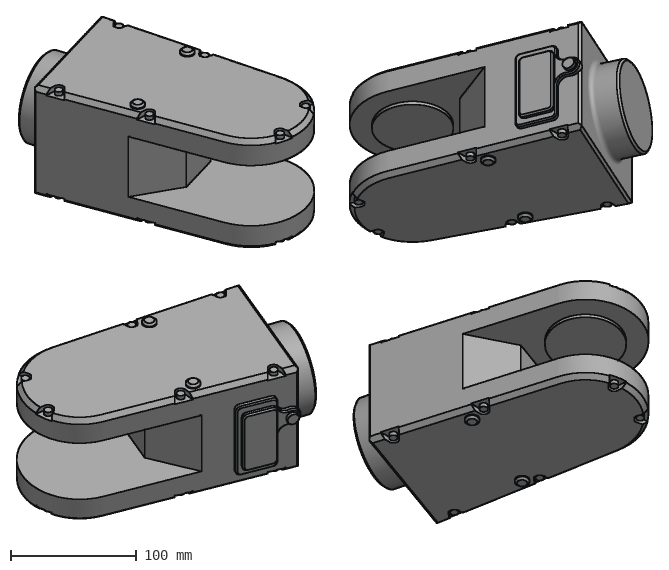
import cadquery as cq
import math

LENGTH = 240.5
FACE_X = 24.8
HEIGHT = 105.3
REAR_HALF_WIDTH = 58.7
END_RADIUS = 50.2
FACE_CHAMFER = 2.2
EDGE_CHAMFER = 4.0
END_X = LENGTH - END_RADIUS
TOP_Z = HEIGHT / 2

SIDE_SPAN = END_X - FACE_X
CENTER_DISTANCE = math.hypot(SIDE_SPAN, REAR_HALF_WIDTH)
TAPER = math.atan2(REAR_HALF_WIDTH, SIDE_SPAN) - math.asin(END_RADIUS / CENTER_DISTANCE)
TANGENT_X = END_X + END_RADIUS * math.sin(TAPER)
TANGENT_Y = END_RADIUS * math.cos(TAPER)

GAP_HEIGHT = 58.2
GAP_FLOOR_X = 142.5
GAP_SIDE_X = 108.5

DISC_RADIUS = 32.5
DISC_THICKNESS = 3.1

CAP_RADIUS = 39.0
CAP_CHAMFER = 2.0
CAP_FILLET = 4.0

SCREW_XS = (43.8, 123.3)
SCREW_END_ANGLE = 30.0
SCREW_INSET = 6.7
SCREW_RADIUS = 3.4
SCREW_DROP = 1.2
POCKET_RADIUS = 4.8
POCKET_DEPTH = 5.0
POCKET_FLARE = 22.0
POCKET_REACH = 14.5

STUD_X = 110.0
STUD_Y = 41.8
STUD_BASE_RADIUS = 6.0
STUD_TIP_RADIUS = 4.0
STUD_HEIGHT = 3.0

PLATE_START = 19.7
PLATE_END = 55.8
PLATE_LOW_Z = -40.1
PLATE_HIGH_Z = 30.8
PLATE_THICKNESS = 4.0
PLATE_CORNER = 4.5
PLATE_CHAMFER = 1.2
COVER_START = 21.2
COVER_END = 51.2
COVER_LOW_Z = -34.1
COVER_HIGH_Z = 24.0
COVER_HEIGHT = 8.0
COVER_CORNER = 4.3
COVER_CHAMFER = 1.5
KNOB_POS = 8.0
KNOB_Z = 7.0
KNOB_RADIUS = 5.0
KNOB_HEIGHT = 7.2
FLANGE_RADIUS = 8.0
NECK_FILLET = 8.0
EMBED = 2.5


def make_housing():
    """Tapered block with a rounded end and chamfered edges."""
    block = (
        cq.Workplane("XY")
        .workplane(offset=-TOP_Z)
        .moveTo(FACE_X, -REAR_HALF_WIDTH)
        .lineTo(TANGENT_X, -TANGENT_Y)
        .threePointArc((LENGTH, 0), (TANGENT_X, TANGENT_Y))
        .lineTo(FACE_X, REAR_HALF_WIDTH)
        .close()
        .extrude(HEIGHT)
    )
    block = block.faces("<X").edges().chamfer(FACE_CHAMFER)
    return block.faces("<Z or >Z").edges("not <X").chamfer(EDGE_CHAMFER)


def make_gap():
    """Space between the arms, ending at a nose with 45 degree flanks."""
    outer_y = 2 * REAR_HALF_WIDTH
    side_y = REAR_HALF_WIDTH - (GAP_SIDE_X - FACE_X) * math.tan(TAPER)
    nose_y = side_y - (GAP_FLOOR_X - GAP_SIDE_X)
    flank_x = GAP_FLOOR_X - (outer_y - nose_y)
    return (
        cq.Workplane("XY")
        .workplane(offset=-GAP_HEIGHT / 2)
        .polyline(
            [
                (GAP_FLOOR_X, -nose_y),
                (flank_x, -outer_y),
                (2 * LENGTH, -outer_y),
                (2 * LENGTH, outer_y),
                (flank_x, outer_y),
                (GAP_FLOOR_X, nose_y),
            ]
        )
        .close()
        .extrude(GAP_HEIGHT)
    )


def make_disc():
    """Pivot disc on the inner side of the upper arm."""
    return (
        cq.Workplane("XY", origin=(END_X, 0, GAP_HEIGHT / 2))
        .circle(DISC_RADIUS)
        .extrude(-DISC_THICKNESS)
    )


def make_cap():
    """Round cap, chamfered in front and flaring into the rear face, as a turned profile."""
    flare = CAP_FILLET * (1 - math.sqrt(0.5))
    return (
        cq.Workplane("XZ")
        .moveTo(0, 0)
        .lineTo(0, CAP_RADIUS - CAP_CHAMFER)
        .lineTo(CAP_CHAMFER, CAP_RADIUS)
        .lineTo(FACE_X - CAP_FILLET, CAP_RADIUS)
        .threePointArc((FACE_X - flare, CAP_RADIUS + flare), (FACE_X, CAP_RADIUS + CAP_FILLET))
        .lineTo(FACE_X, 0)
        .close()
        .revolve(360, (0, 0, 0), (1, 0, 0))
    )


def screw_places():
    """Screw axes (x, y) on the +Y half, each with the outward direction of the outline there."""
    side_angle = math.pi / 2 - TAPER
    places = []
    for x in SCREW_XS:
        side_y = REAR_HALF_WIDTH - (x - FACE_X) * math.tan(TAPER)
        places.append((x, side_y - SCREW_INSET / math.cos(TAPER), side_angle))
    end_angle = math.radians(SCREW_END_ANGLE)
    reach = END_RADIUS - SCREW_INSET
    places.append((END_X + reach * math.cos(end_angle), reach * math.sin(end_angle), end_angle))
    return places


def make_pocket():
    """Screw pocket in the top surface, with its axis at the origin, opening towards +X."""
    flare = math.radians(POCKET_FLARE)
    start_x = -POCKET_RADIUS * math.sin(flare)
    start_y = POCKET_RADIUS * math.cos(flare)
    mouth_y = start_y + (POCKET_REACH - start_x) * math.tan(flare)
    return (
        cq.Workplane("XY")
        .workplane(offset=TOP_Z - POCKET_DEPTH)
        .moveTo(start_x, start_y)
        .threePointArc((-POCKET_RADIUS, 0), (start_x, -start_y))
        .lineTo(POCKET_REACH, -mouth_y)
        .lineTo(POCKET_REACH, mouth_y)
        .close()
        .extrude(2 * POCKET_DEPTH)
    )


def make_screw():
    """Screw head standing on the pocket floor."""
    return (
        cq.Workplane("XY")
        .workplane(offset=TOP_Z - POCKET_DEPTH)
        .circle(SCREW_RADIUS)
        .extrude(POCKET_DEPTH - SCREW_DROP)
    )


def make_stud():
    """Stud with a conical tip on the top surface."""
    return (
        cq.Workplane("XY", origin=(STUD_X, STUD_Y, TOP_Z))
        .circle(STUD_BASE_RADIUS)
        .extrude(STUD_HEIGHT)
        .faces(">Z")
        .edges()
        .chamfer(STUD_BASE_RADIUS - STUD_TIP_RADIUS)
    )


def mirrored(shape):
    """The four copies of a shape about the planes Y = 0 and Z = 0."""
    pair = [shape, shape.mirror("XZ")]
    return pair + [half.mirror("XY") for half in pair]


def panel_block(start, end, low_z, high_z, height, corner):
    """Block on the panel's seat plane Y = 0, rounded at the corners."""
    return (
        cq.Workplane("XZ", origin=(0, -EMBED, 0))
        .center((start + end) / 2, (low_z + high_z) / 2)
        .rect(end - start, high_z - low_z)
        .extrude(-EMBED - height)
        .edges("|Y")
        .fillet(corner)
    )


def panel_cylinder(radius, height):
    """Round part around the knob axis."""
    return (
        cq.Workplane("XZ", origin=(KNOB_POS, -EMBED, KNOB_Z))
        .circle(radius)
        .extrude(-EMBED - height)
    )


def make_neck():
    """Web between the plate and the knob flange, with concave arcs tangent to both."""
    arc_x = PLATE_START - NECK_FILLET
    arc_z = math.sqrt((FLANGE_RADIUS + NECK_FILLET) ** 2 - (arc_x - KNOB_POS) ** 2)
    lean = math.atan2(arc_z, arc_x - KNOB_POS)
    touch = (FLANGE_RADIUS * math.cos(lean), FLANGE_RADIUS * math.sin(lean))
    middle = (lean - math.pi) / 2
    mid_x = arc_x - KNOB_POS + NECK_FILLET * math.cos(middle)
    mid_z = arc_z + NECK_FILLET * math.sin(middle)
    root_x = PLATE_START - KNOB_POS
    inner_x = root_x + PLATE_CORNER
    return (
        cq.Workplane("XZ", origin=(KNOB_POS, -EMBED, KNOB_Z))
        .moveTo(*touch)
        .threePointArc((mid_x, mid_z), (root_x, arc_z))
        .lineTo(inner_x, arc_z)
        .lineTo(inner_x, -arc_z)
        .lineTo(root_x, -arc_z)
        .threePointArc((mid_x, -mid_z), (touch[0], -touch[1]))
        .close()
        .extrude(-EMBED - PLATE_THICKNESS)
    )


def make_panel():
    """Stepped side panel with its knob, laid onto the tapered +Y side."""
    plate = panel_block(
        PLATE_START, PLATE_END, PLATE_LOW_Z, PLATE_HIGH_Z, PLATE_THICKNESS, PLATE_CORNER
    )
    plate = plate.union(make_neck()).union(panel_cylinder(FLANGE_RADIUS, PLATE_THICKNESS)).clean()
    plate = plate.faces(">Y").edges().chamfer(PLATE_CHAMFER)
    cover = panel_block(
        COVER_START, COVER_END, COVER_LOW_Z, COVER_HIGH_Z, COVER_HEIGHT, COVER_CORNER
    )
    cover = cover.faces(">Y").edges().chamfer(COVER_CHAMFER)
    panel = plate.union(cover).union(panel_cylinder(KNOB_RADIUS, KNOB_HEIGHT))
    panel = panel.rotate((0, 0, 0), (0, 0, 1), -math.degrees(TAPER))
    return panel.translate((FACE_X, REAR_HALF_WIDTH, 0))


result = make_housing().cut(make_gap()).union(make_disc()).union(make_cap())

for place_x, place_y, outward in screw_places():
    pocket = make_pocket().rotate((0, 0, 0), (0, 0, 1), math.degrees(outward))
    for tool in mirrored(pocket.translate((place_x, place_y, 0))):
        result = result.cut(tool)
    for screw in mirrored(make_screw().translate((place_x, place_y, 0))):
        result = result.union(screw)

for stud in mirrored(make_stud()):
    result = result.union(stud)

result = result.union(make_panel())